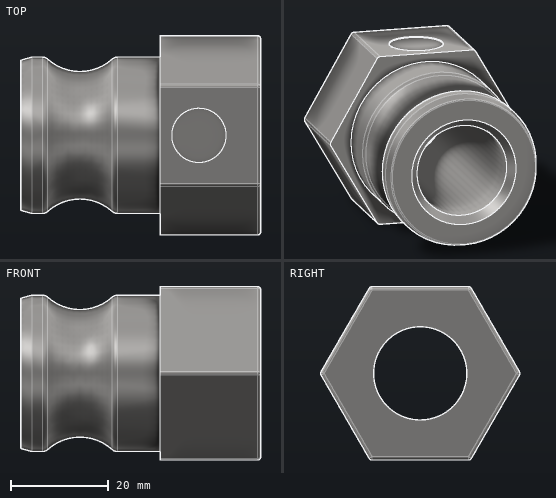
import cadquery as cq
import math

total_length = 49.2
nut_start = 28.6
across_flats = 35.6
nut_edge_radius = 0.75

spigot_radius = 32.1 / 2
nose_radius = 15.4
nose_taper_length = 2.3
nose_fillet = 0.25
groove_center_x = 12.15
groove_bottom_radius = 13.1
groove_arc_radius = 9.85
groove_lip_radius = 1.57

bore_diameter = 19.05
bore_mouth_diameter = 22.15
bore_chamfer = (bore_mouth_diameter - bore_diameter) / 2

label_diameter = 11.1
label_depth = 0.2
label_center_x = 36.5


def make_spigot():
    """Tapered nose, cam groove with rounded lips and plain neck, revolved about X."""
    arc_center_r = groove_bottom_radius + groove_arc_radius
    lip_center_r = spigot_radius - groove_lip_radius
    center_distance = groove_arc_radius + groove_lip_radius
    tangent_angle = math.acos((arc_center_r - lip_center_r) / center_distance)
    lip_offset = center_distance * math.sin(tangent_angle)
    tangent_offset = groove_arc_radius * math.sin(tangent_angle)
    tangent_r = arc_center_r - groove_arc_radius * math.cos(tangent_angle)
    lip_mid_offset = lip_offset - groove_lip_radius * math.sin(tangent_angle / 2)
    lip_mid_r = lip_center_r + groove_lip_radius * math.cos(tangent_angle / 2)

    profile = (
        cq.Workplane("XY")
        .moveTo(0, 0)
        .lineTo(0, nose_radius)
        .lineTo(nose_taper_length, spigot_radius)
        .lineTo(groove_center_x - lip_offset, spigot_radius)
        .threePointArc(
            (groove_center_x - lip_mid_offset, lip_mid_r),
            (groove_center_x - tangent_offset, tangent_r),
        )
        .threePointArc(
            (groove_center_x, groove_bottom_radius),
            (groove_center_x + tangent_offset, tangent_r),
        )
        .threePointArc(
            (groove_center_x + lip_mid_offset, lip_mid_r),
            (groove_center_x + lip_offset, spigot_radius),
        )
        .lineTo(nut_start, spigot_radius)
        .lineTo(nut_start, 0)
        .close()
    )
    spigot = profile.revolve(360, (0, 0, 0), (1, 0, 0))
    return spigot.faces("<X").edges().fillet(nose_fillet)


def make_nut():
    """Hexagon with flats at top and bottom, rounded along its corners and its far end."""
    across_corners = across_flats / math.cos(math.pi / 6)
    nut = (
        cq.Workplane("YZ", origin=(nut_start, 0, 0))
        .polygon(6, across_corners)
        .extrude(total_length - nut_start)
    )
    return nut.edges("|X or >X").fillet(nut_edge_radius)


def make_bore():
    """Straight bore along X, chamfered at the nose."""
    bore = cq.Workplane("YZ").circle(bore_diameter / 2).extrude(total_length)
    mouth = (
        cq.Workplane("YZ")
        .circle(bore_mouth_diameter / 2)
        .workplane(offset=bore_chamfer)
        .circle(bore_diameter / 2)
        .loft()
    )
    return bore.union(mouth)


def make_label_recess():
    """Shallow disc sunk into the top flat of the nut."""
    return (
        cq.Workplane("XY", origin=(label_center_x, 0, across_flats / 2))
        .circle(label_diameter / 2)
        .extrude(-label_depth)
    )


result = make_spigot().union(make_nut()).cut(make_bore()).cut(make_label_recess())